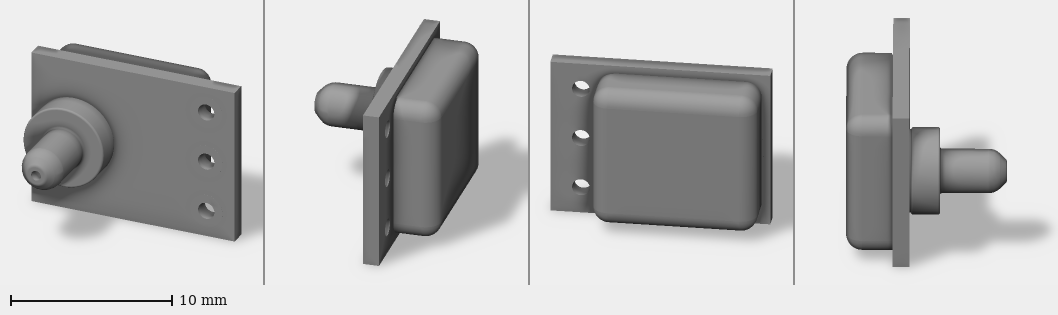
import cadquery as cq
import math

BOARD_WIDTH = 13.77
BOARD_HEIGHT = 10.31
BOARD_THICKNESS = 1.03

TERMINAL_X = 4.97
TERMINAL_PITCH = 3.41
TERMINAL_COUNT = 3
TERMINAL_HOLE_DIAMETER = 1.1
PAD_DIAMETER = 2.2
PAD_HEIGHT = 0.007

HOUSING_WIDTH = 10.27
HOUSING_HEIGHT = 9.27
HOUSING_DEPTH = 2.89
HOUSING_RADIUS = 1.0
HOUSING_X = -1.21
RELIEF_DEPTH = 0.08

PORT_X = -3.9
PORT_LENGTH = 6.05
PORT_RADIUS = 1.38
COLLAR_RADIUS = 2.71
COLLAR_FRONT = 1.9
COLLAR_BACK = 0.11
EDGE_RADIUS = 0.12
NECK_RADIUS = COLLAR_RADIUS - EDGE_RADIUS
TIP_FACE_RADIUS = 0.56
TIP_EDGE_RADIUS = 0.25
SHOULDER_RADIUS = 1.0
TIP_ANGLE = math.radians(45)
BORE_DIAMETER = 0.66


def make_board():
    """Plate with ring-shaped pads around the terminal holes and a hole that holds the sensor neck."""
    plate = cq.Workplane("XY").box(BOARD_WIDTH, BOARD_THICKNESS, BOARD_HEIGHT)
    plate = plate.translate((0, BOARD_THICKNESS / 2, 0))
    first_offset = (TERMINAL_COUNT - 1) / 2
    for index in range(TERMINAL_COUNT):
        height = (index - first_offset) * TERMINAL_PITCH
        plate = plate.union(board_cylinder(TERMINAL_X, height, PAD_DIAMETER / 2))
        plate = plate.cut(board_cylinder(TERMINAL_X, height, TERMINAL_HOLE_DIAMETER / 2))
    return plate.cut(board_cylinder(PORT_X, 0, NECK_RADIUS))


def board_cylinder(x, z, radius):
    """Cylinder along Y from the front of the pads to the back of the board."""
    pad_face = cq.Workplane("XZ", origin=(x, -PAD_HEIGHT, z))
    return pad_face.circle(radius).extrude(-(PAD_HEIGHT + BOARD_THICKNESS))


def make_housing():
    """Box with rounded corners and back edges, relieved beneath its right-hand end."""
    block = (
        cq.Workplane("XZ", origin=(HOUSING_X, BOARD_THICKNESS, 0))
        .rect(HOUSING_WIDTH, HOUSING_HEIGHT)
        .extrude(-HOUSING_DEPTH)
        .edges("|Y or >Y")
        .fillet(HOUSING_RADIUS)
    )
    relief_center = HOUSING_X + HOUSING_WIDTH / 2 - HOUSING_RADIUS / 2
    relief = cq.Workplane("XY").box(HOUSING_RADIUS, RELIEF_DEPTH, HOUSING_HEIGHT)
    return block.cut(relief.translate((relief_center, BOARD_THICKNESS + RELIEF_DEPTH / 2, 0)))


def point_on_circle(center, radius, angle):
    """Point on a circle in the port's profile plane."""
    return (center[0] + radius * math.cos(angle), center[1] + radius * math.sin(angle))


def make_port():
    """Neck, collar and round-nosed stem, turned from one half profile of (radius, Y)."""
    neck_end = BOARD_THICKNESS
    tip = -PORT_LENGTH
    half_diagonal = EDGE_RADIUS * math.sqrt(0.5)

    tip_center = (TIP_FACE_RADIUS, tip + TIP_EDGE_RADIUS)
    cone_start = point_on_circle(tip_center, TIP_EDGE_RADIUS, -TIP_ANGLE)
    shoulder_center_radius = PORT_RADIUS - SHOULDER_RADIUS
    cone_end_radius = shoulder_center_radius + SHOULDER_RADIUS * math.cos(TIP_ANGLE)
    cone_end = (cone_end_radius, cone_start[1] + (cone_end_radius - cone_start[0]) * math.tan(TIP_ANGLE))
    shoulder_center = (shoulder_center_radius, cone_end[1] + SHOULDER_RADIUS * math.sin(TIP_ANGLE))

    root_center = (PORT_RADIUS + EDGE_RADIUS, -COLLAR_FRONT - EDGE_RADIUS)
    front_center = (NECK_RADIUS, -COLLAR_FRONT + EDGE_RADIUS)
    back_center = (NECK_RADIUS, -COLLAR_BACK - EDGE_RADIUS)

    profile = (
        cq.Workplane("XY")
        .moveTo(0, neck_end)
        .lineTo(0, tip)
        .lineTo(TIP_FACE_RADIUS, tip)
        .threePointArc(point_on_circle(tip_center, TIP_EDGE_RADIUS, -(math.pi / 2 + TIP_ANGLE) / 2), cone_start)
        .lineTo(*cone_end)
        .threePointArc(
            point_on_circle(shoulder_center, SHOULDER_RADIUS, -TIP_ANGLE / 2),
            (PORT_RADIUS, shoulder_center[1]),
        )
        .lineTo(PORT_RADIUS, root_center[1])
        .threePointArc(
            (root_center[0] - half_diagonal, root_center[1] + half_diagonal),
            (root_center[0], -COLLAR_FRONT),
        )
        .lineTo(NECK_RADIUS, -COLLAR_FRONT)
        .threePointArc(
            (front_center[0] + half_diagonal, front_center[1] - half_diagonal),
            (COLLAR_RADIUS, front_center[1]),
        )
        .lineTo(COLLAR_RADIUS, back_center[1])
        .threePointArc(
            (back_center[0] + half_diagonal, back_center[1] + half_diagonal),
            (NECK_RADIUS, -COLLAR_BACK),
        )
        .lineTo(NECK_RADIUS, neck_end)
        .close()
    )
    turned = profile.revolve(360, (0, 0, 0), (0, 1, 0))
    bore = cq.Workplane("XZ").circle(BORE_DIAMETER / 2).extrude(PORT_LENGTH)
    return turned.cut(bore).translate((PORT_X, 0, 0))


def make_sensor():
    """Housing and port as one piece, joined by the neck through the board."""
    return make_housing().union(make_port())


board = make_board()
sensor = make_sensor()

result = cq.Compound.makeCompound([board.val(), sensor.val()])